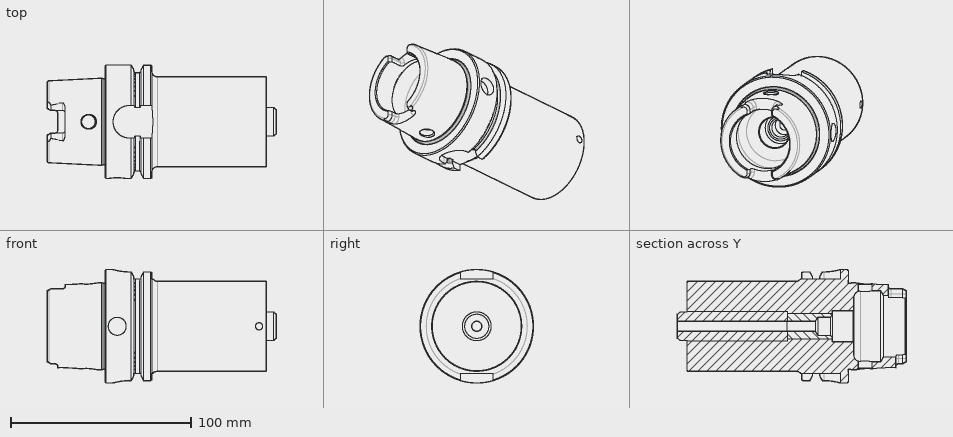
import cadquery as cq
import math


shank_length = 32.0
taper_ratio = 1 / 9.98
gauge_x = -6.3
gauge_diameter = 48.0
shank_tip_fillet = 1.0
relief_start_x = -1.9
relief_ramp = 0.8
relief_radius = 23.9
relief_fillet = 0.6
face_recess_depth = 0.3
face_recess_radius = 25.5

flange_diameter = 63.0
flange_length = 26.0
flange_front_chamfer = 0.7
flange_rear_chamfer = 0.4
flange_rear_chamfer_length = 0.75
groove_center_x = 18.0
groove_mouth_half_width = 3.45
groove_foot_half_width = 1.92
groove_wall_angle = 60.0
groove_floor_radius = 27.35
groove_fillet = 0.75

body_diameter = 50.0
body_end_x = 89.6
body_end_chamfer = 0.35
neck_fillet = 3.0

bore_diameter = 34.0
bore_mouth_chamfer = 0.6
clamp_shoulder_x = -19.3
clamp_groove_diameter = 39.2
clamp_shoulder_angle = 60.0
bore_floor_x = -3.0
bore_floor_fillet = 3.75

seat_diameter = 17.0
seat_chamfer = 0.4
seat_depth = 12.0
screw_diameter = 14.0
screw_length = 25.0
screw_socket_diameter = 10.0
socket_depth = 8.0
socket_mouth_chamfer = 1.0
drill_tip_angle = 118.0
coolant_hole_diameter = 5.5

spigot_diameter = 16.0
spigot_end_x = 94.95
spigot_chamfer = 1.3
spigot_chamfer_length = 1.6

slot_width = 12.5
slot_depths = {1: 10.0, -1: 5.75}
slot_wall_top_z = 17.95
slot_edge_radius = 2.9
slot_floor_fillet = 1.5
slot_mouth_chamfer = 1.1
slot_mouth_chamfer_length = 2.0

flat_height = 26.2
flat_width = 18.0
flat_start_x = 4.5

cross_hole_diameter = 7.5
cross_hole_chamfer = 0.7
cross_hole_x = -9.15
chip_hole_diameter = 10.0
chip_hole_depth = 4.6
chip_hole_x = 6.8
pin_hole_diameter = 4.0
pin_hole_depth = 6.0
pin_hole_x = 85.4

screw_start_x = bore_floor_x + seat_depth
screw_end_x = screw_start_x + screw_length
coolant_radius = coolant_hole_diameter / 2


def taper_radius(x):
    return gauge_diameter / 2 + (x - gauge_x) * taper_ratio / 2


def turned(profile):
    """Revolve a half profile, drawn as X against radius, about the tool axis."""
    return profile.close().revolve(360, (0, 0, 0), (1, 0, 0))


def turned_blank():
    """Shank, flange and body in one turned piece, without any bores."""
    flange_radius = flange_diameter / 2
    body_radius = body_diameter / 2
    tip_fillet_end_x = -shank_length + shank_tip_fillet
    tip_radius = taper_radius(tip_fillet_end_x)
    wall_slope = math.tan(math.radians(groove_wall_angle))
    foot_radius = flange_radius - (groove_mouth_half_width - groove_foot_half_width) * wall_slope
    fillet_top_radius = groove_floor_radius + groove_fillet
    floor_half_width = groove_foot_half_width - groove_fillet
    profile = (
        cq.Workplane("XY")
        .moveTo(-shank_length, 0)
        .lineTo(-shank_length, tip_radius - shank_tip_fillet)
        .radiusArc((tip_fillet_end_x, tip_radius), shank_tip_fillet)
        .lineTo(relief_start_x, taper_radius(relief_start_x))
        .lineTo(relief_start_x + relief_ramp, relief_radius)
        .lineTo(face_recess_depth - relief_fillet, relief_radius)
        .radiusArc((face_recess_depth, relief_radius + relief_fillet), -relief_fillet)
        .lineTo(face_recess_depth, face_recess_radius - face_recess_depth)
        .lineTo(0, face_recess_radius)
        .lineTo(0, flange_radius - flange_front_chamfer)
        .lineTo(flange_front_chamfer, flange_radius)
        .lineTo(groove_center_x - groove_mouth_half_width, flange_radius)
        .lineTo(groove_center_x - groove_foot_half_width, foot_radius)
        .lineTo(groove_center_x - groove_foot_half_width, fillet_top_radius)
        .radiusArc((groove_center_x - floor_half_width, groove_floor_radius), -groove_fillet)
        .lineTo(groove_center_x + floor_half_width, groove_floor_radius)
        .radiusArc((groove_center_x + groove_foot_half_width, fillet_top_radius), -groove_fillet)
        .lineTo(groove_center_x + groove_foot_half_width, foot_radius)
        .lineTo(groove_center_x + groove_mouth_half_width, flange_radius)
        .lineTo(flange_length - flange_rear_chamfer_length, flange_radius)
        .lineTo(flange_length, flange_radius - flange_rear_chamfer)
        .lineTo(flange_length, body_radius + neck_fillet)
        .radiusArc((flange_length + neck_fillet, body_radius), -neck_fillet)
        .lineTo(body_end_x - body_end_chamfer, body_radius)
        .lineTo(body_end_x, body_radius - body_end_chamfer)
        .lineTo(body_end_x, 0)
    )
    return turned(profile)


def drive_slot_outline(x):
    """Slot section whose walls roll over round edges and leave them radially outwards."""
    half_width = slot_width / 2
    edge_y = half_width + slot_edge_radius
    edge_z = slot_wall_top_z
    exit_angle = math.atan2(edge_z, edge_y)
    middle_angle = (exit_angle + math.pi) / 2
    exit_y = edge_y + slot_edge_radius * math.cos(exit_angle)
    exit_z = edge_z + slot_edge_radius * math.sin(exit_angle)
    middle_y = edge_y + slot_edge_radius * math.cos(middle_angle)
    middle_z = edge_z + slot_edge_radius * math.sin(middle_angle)
    outer_y = flange_diameter / 2 * math.cos(exit_angle)
    outer_z = flange_diameter / 2 * math.sin(exit_angle)
    return (
        cq.Workplane("YZ", origin=(x, 0, 0))
        .moveTo(-half_width, 0)
        .lineTo(-half_width, edge_z)
        .threePointArc((-middle_y, middle_z), (-exit_y, exit_z))
        .lineTo(-outer_y, outer_z)
        .lineTo(outer_y, outer_z)
        .lineTo(exit_y, exit_z)
        .threePointArc((middle_y, middle_z), (half_width, edge_z))
        .lineTo(half_width, 0)
        .close()
    )


def drive_slot(side):
    """Slot across the shank tip with a rounded floor corner and a flared mouth."""
    depth = slot_depths[side]
    outer = flange_diameter / 2
    slot = drive_slot_outline(-shank_length).extrude(depth)
    wall_top = slot_wall_top_z + slot_edge_radius
    wall_zone = cq.selectors.BoxSelector(
        (-shank_length, -outer, slot_edge_radius),
        (0, outer, wall_top),
    )
    slot = slot.faces(">X").edges(wall_zone).fillet(slot_floor_fillet)
    flare = math.degrees(math.atan(slot_mouth_chamfer / slot_mouth_chamfer_length))
    mouth = drive_slot_outline(-shank_length + slot_mouth_chamfer_length).extrude(
        -slot_mouth_chamfer_length, taper=-flare
    )
    slot = slot.union(mouth)
    return slot if side > 0 else slot.mirror("XY")


def flange_flat(side):
    """Flat with a full-round front end that runs out through the rear of the flange."""
    radius = flat_width / 2
    height = flange_diameter / 2 - flat_height
    length = flange_length + neck_fillet - flat_start_x
    flat = (
        cq.Workplane("XY", origin=(flat_start_x, 0, flat_height))
        .moveTo(radius, -radius)
        .lineTo(length, -radius)
        .lineTo(length, radius)
        .lineTo(radius, radius)
        .threePointArc((0, 0), (radius, -radius))
        .close()
        .extrude(height)
    )
    return flat if side > 0 else flat.mirror("XY")


def stepped_bore():
    """Everything hollow along the axis: clamping bore, seat, screw hole and spigot hole."""
    bore_radius = bore_diameter / 2
    groove_radius = clamp_groove_diameter / 2
    seat_radius = seat_diameter / 2
    shoulder_run = (groove_radius - bore_radius) / math.tan(math.radians(clamp_shoulder_angle))
    profile = (
        cq.Workplane("XY")
        .moveTo(-shank_length, 0)
        .lineTo(-shank_length, bore_radius + bore_mouth_chamfer)
        .lineTo(-shank_length + bore_mouth_chamfer, bore_radius)
        .lineTo(clamp_shoulder_x, bore_radius)
        .lineTo(clamp_shoulder_x + shoulder_run, groove_radius)
        .lineTo(bore_floor_x - bore_floor_fillet, groove_radius)
        .radiusArc((bore_floor_x, groove_radius - bore_floor_fillet), bore_floor_fillet)
        .lineTo(bore_floor_x, seat_radius + seat_chamfer)
        .lineTo(bore_floor_x + seat_chamfer, seat_radius)
        .lineTo(screw_start_x, seat_radius)
        .lineTo(screw_start_x, screw_diameter / 2)
        .lineTo(screw_end_x, screw_diameter / 2)
        .lineTo(screw_end_x, spigot_diameter / 2)
        .lineTo(body_end_x, spigot_diameter / 2)
        .lineTo(body_end_x, 0)
    )
    return turned(profile)


def cross_hole(side):
    """Hole through the shank wall with a chamfered mouth, turned about a radial axis."""
    radius = cross_hole_diameter / 2
    mouth_z = taper_radius(cross_hole_x)
    mouth_radius = radius + cross_hole_chamfer
    outer = flange_diameter / 2
    hole = (
        cq.Workplane("XZ", origin=(cross_hole_x, 0, 0))
        .lineTo(radius, 0)
        .lineTo(radius, mouth_z - cross_hole_chamfer)
        .lineTo(mouth_radius, mouth_z)
        .lineTo(mouth_radius, outer)
        .lineTo(0, outer)
        .close()
        .revolve(360, (0, 0, 0), (0, 1, 0))
    )
    return hole if side > 0 else hole.mirror("XY")


def chip_hole():
    """Flat-bottomed data-chip hole in the -Y side of the flange."""
    return (
        cq.Workplane("XZ", origin=(chip_hole_x, -flange_diameter / 2 + chip_hole_depth, 0))
        .circle(chip_hole_diameter / 2)
        .extrude(flange_diameter / 2)
    )


def pin_hole():
    """Blind drilled hole in the -Y side of the body."""
    radius = pin_hole_diameter / 2
    tip_length = radius / math.tan(math.radians(drill_tip_angle / 2))
    floor = body_diameter / 2 - pin_hole_depth
    hole_top = flange_diameter / 2
    return (
        cq.Workplane("XY", origin=(pin_hole_x, 0, 0))
        .moveTo(0, -hole_top)
        .lineTo(radius, -hole_top)
        .lineTo(radius, -floor)
        .lineTo(0, -floor + tip_length)
        .close()
        .revolve(360, (0, 0, 0), (0, 1, 0))
    )


def make_holder():
    holder = turned_blank().cut(stepped_bore())
    for side in (1, -1):
        holder = holder.cut(drive_slot(side))
        holder = holder.cut(flange_flat(side))
        holder = holder.cut(cross_hole(side))
    return holder.cut(chip_hole()).cut(pin_hole())


def make_screw():
    radius = screw_diameter / 2
    socket_radius = screw_socket_diameter / 2
    tip_run = (socket_radius - coolant_radius) / math.tan(math.radians(drill_tip_angle / 2))
    profile = (
        cq.Workplane("XY")
        .moveTo(screw_start_x, socket_radius + socket_mouth_chamfer)
        .lineTo(screw_start_x, radius)
        .lineTo(screw_end_x, radius)
        .lineTo(screw_end_x, coolant_radius)
        .lineTo(screw_start_x + socket_depth + tip_run, coolant_radius)
        .lineTo(screw_start_x + socket_depth, socket_radius)
        .lineTo(screw_start_x + socket_mouth_chamfer, socket_radius)
    )
    return turned(profile)


def make_spigot():
    radius = spigot_diameter / 2
    profile = (
        cq.Workplane("XY")
        .moveTo(screw_end_x, coolant_radius)
        .lineTo(screw_end_x, radius)
        .lineTo(spigot_end_x - spigot_chamfer_length, radius)
        .lineTo(spigot_end_x, radius - spigot_chamfer)
        .lineTo(spigot_end_x, coolant_radius)
    )
    return turned(profile)


holder = make_holder()
screw = make_screw()
spigot = make_spigot()
result = cq.Compound.makeCompound([holder.val(), screw.val(), spigot.val()])